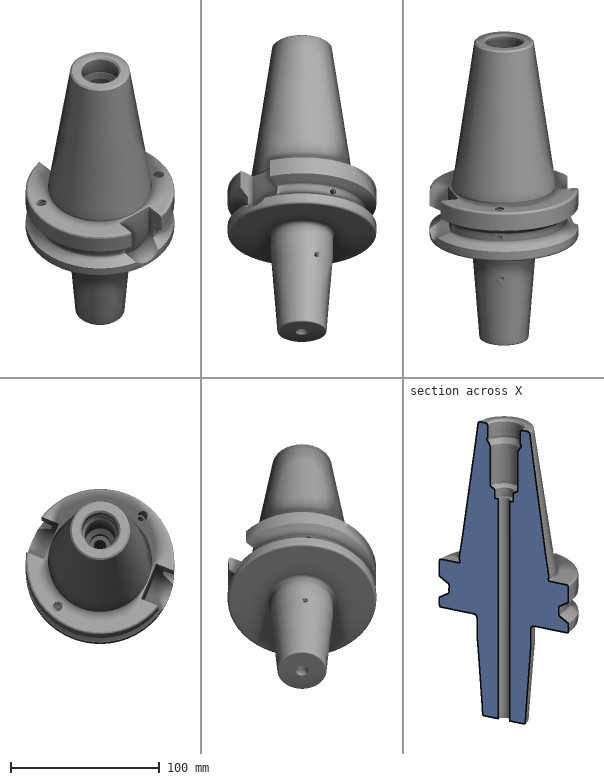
import cadquery as cq
import math

TOTAL_HEIGHT = 211.8

NOSE_RADIUS = 16.5
NECK_RADIUS = 21.0
NOSE_CONE_TOP = 57.5
NOSE_FILLET = 1.0
NECK_FILLET = 2.3

FLANGE_RADIUS = 50.0
FLANGE_BOTTOM = 72.0
FLANGE_TOP = 107.0
FLANGE_FILLET = 1.7
GROOVE_MOUTH_TOP = 94.3
GROOVE_MOUTH_WIDTH = 15.0
GROOVE_RADIUS = 42.5
GROOVE_FLANK_ANGLE = 30.0
GROOVE_FILLET = 1.0
GROOVE_MID = GROOVE_MOUTH_TOP - GROOVE_MOUTH_WIDTH / 2

TAPER_RADIUS = 35.0
TAPER_BOTTOM = 108.9
TAPER_RATIO = 7 / 24
TAPER_CHAMFER = 1.0
RELIEF_RADIUS = 34.3
RELIEF_FILLET = 0.6

SLOT_WIDTH = 26.3
SLOT_FLOOR = 35.4
SLOT_BOTTOM = 75.2

PILOT_RADIUS = 12.5
PILOT_CHAMFER = 1.3
PILOT_DEPTH = 11.0
UNDERCUT_RADIUS = 13.1
UNDERCUT_WIDTH = 1.7
THREAD_RADIUS = 10.4
THREAD_LEAD_ANGLE = 30.0
THREAD_DEPTH = 45.0
DRILL_RADIUS = 7.0
DRILL_TIP_ANGLE = 60.0
DRILL_DEPTH = 53.0
COOLANT_RADIUS = 4.2

HOLE_AZIMUTHS = (70.0, 250.0)
FACE_HOLE_OFFSET = 42.1
FACE_HOLE_TILT = 30.0
FACE_SEAT_RADIUS = 3.2
FACE_SEAT_DEPTH = 3.5
FACE_HOLE_RADIUS = 2.0
GROOVE_SEAT_RADIUS = 2.3
GROOVE_SEAT_DEPTH = 1.0
GROOVE_HOLE_RADIUS = 1.7
NOSE_SEAT_RADIUS = 2.0
NOSE_SEAT_DEPTH = 1.0
NOSE_HOLE_RADIUS = 1.3
NOSE_HOLE_DEPTH = 6.4
NOSE_HOLE_HEIGHT = 49.1

TOOL_LEAD = 4.2


def revolve_profile(profile):
    return profile.close().revolve(360, (0, 0, 0), (0, 1, 0))


def ring_edges(body, radius, height):
    """Circular edges of the body with the given radius and height."""
    tolerance = 0.002
    rings = [
        edge
        for edge in body.edges("%CIRCLE").vals()
        if abs(edge.radius() - radius) < tolerance and abs(edge.arcCenter().z - height) < tolerance
    ]
    return body.newObject(rings)


def make_body():
    flank_angle = math.radians(GROOVE_FLANK_ANGLE)
    flank_height = (FLANGE_RADIUS - GROOVE_RADIUS) * math.tan(flank_angle)
    mouth_bottom = GROOVE_MOUTH_TOP - GROOVE_MOUTH_WIDTH
    floor_top = GROOVE_MOUTH_TOP - flank_height
    floor_bottom = mouth_bottom + flank_height
    taper_end = TAPER_RADIUS - (TOTAL_HEIGHT - TAPER_BOTTOM) * TAPER_RATIO / 2
    body = revolve_profile(
        cq.Workplane("XZ")
        .moveTo(0, 0)
        .lineTo(NOSE_RADIUS, 0)
        .lineTo(NECK_RADIUS, NOSE_CONE_TOP)
        .lineTo(NECK_RADIUS, FLANGE_BOTTOM)
        .lineTo(FLANGE_RADIUS, FLANGE_BOTTOM)
        .lineTo(FLANGE_RADIUS, mouth_bottom)
        .lineTo(GROOVE_RADIUS, floor_bottom)
        .lineTo(GROOVE_RADIUS, floor_top)
        .lineTo(FLANGE_RADIUS, GROOVE_MOUTH_TOP)
        .lineTo(FLANGE_RADIUS, FLANGE_TOP)
        .lineTo(RELIEF_RADIUS, FLANGE_TOP)
        .lineTo(RELIEF_RADIUS, TAPER_BOTTOM)
        .lineTo(TAPER_RADIUS, TAPER_BOTTOM)
        .lineTo(taper_end, TOTAL_HEIGHT)
        .lineTo(0, TOTAL_HEIGHT)
    )
    fillets = (
        (NOSE_RADIUS, 0, NOSE_FILLET),
        (NECK_RADIUS, FLANGE_BOTTOM, NECK_FILLET),
        (FLANGE_RADIUS, FLANGE_BOTTOM, FLANGE_FILLET),
        (FLANGE_RADIUS, FLANGE_TOP, FLANGE_FILLET),
        (GROOVE_RADIUS, floor_bottom, GROOVE_FILLET),
        (GROOVE_RADIUS, floor_top, GROOVE_FILLET),
        (RELIEF_RADIUS, FLANGE_TOP, RELIEF_FILLET),
    )
    for radius, height, fillet in fillets:
        body = ring_edges(body, radius, height).fillet(fillet)
    return ring_edges(body, taper_end, TOTAL_HEIGHT).chamfer(TAPER_CHAMFER)


def make_drive_slots():
    end_radius = SLOT_WIDTH / 2
    end_centre = SLOT_BOTTOM + end_radius
    slot_top = TAPER_BOTTOM
    slot = (
        cq.Workplane("YZ", origin=(SLOT_FLOOR, 0, 0))
        .moveTo(-end_radius, slot_top)
        .lineTo(-end_radius, end_centre)
        .threePointArc((0, SLOT_BOTTOM), (end_radius, end_centre))
        .lineTo(end_radius, slot_top)
        .close()
        .extrude(FLANGE_RADIUS - SLOT_FLOOR + TOOL_LEAD)
    )
    return slot.union(slot.rotate((0, 0, 0), (0, 0, 1), 180))


def make_bore():
    pilot_bottom = TOTAL_HEIGHT - PILOT_DEPTH
    lead_top = pilot_bottom - UNDERCUT_WIDTH
    lead_height = (PILOT_RADIUS - THREAD_RADIUS) / math.tan(math.radians(THREAD_LEAD_ANGLE))
    thread_bottom = TOTAL_HEIGHT - THREAD_DEPTH
    tip_height = (THREAD_RADIUS - DRILL_RADIUS) / math.tan(math.radians(DRILL_TIP_ANGLE))
    drill_bottom = TOTAL_HEIGHT - DRILL_DEPTH
    return revolve_profile(
        cq.Workplane("XZ")
        .moveTo(0, TOTAL_HEIGHT)
        .lineTo(PILOT_RADIUS + PILOT_CHAMFER, TOTAL_HEIGHT)
        .lineTo(PILOT_RADIUS, TOTAL_HEIGHT - PILOT_CHAMFER)
        .lineTo(PILOT_RADIUS, pilot_bottom)
        .lineTo(UNDERCUT_RADIUS, pilot_bottom)
        .lineTo(UNDERCUT_RADIUS, lead_top)
        .lineTo(PILOT_RADIUS, lead_top)
        .lineTo(THREAD_RADIUS, lead_top - lead_height)
        .lineTo(THREAD_RADIUS, thread_bottom)
        .lineTo(DRILL_RADIUS, thread_bottom - tip_height)
        .lineTo(DRILL_RADIUS, drill_bottom)
        .lineTo(COOLANT_RADIUS, drill_bottom)
        .lineTo(COOLANT_RADIUS, 0)
        .lineTo(0, 0)
    )


def make_stepped_hole(mouth, direction, seat_radius, seat_depth, hole_radius, hole_depth):
    """Counterbored hole from the mouth point along a direction."""
    axis = cq.Vector(*direction)
    start = cq.Vector(*mouth) - axis * TOOL_LEAD
    seat = cq.Solid.makeCylinder(seat_radius, seat_depth + TOOL_LEAD, start, axis)
    hole = cq.Solid.makeCylinder(hole_radius, hole_depth + TOOL_LEAD, start, axis)
    return cq.Workplane(seat).union(cq.Workplane(hole))


def make_coolant_holes(azimuth):
    tilt = math.radians(FACE_HOLE_TILT)
    inward = (-1, 0, 0)
    slanted = (-math.sin(tilt), 0, -math.cos(tilt))
    face_hole_drop = FLANGE_TOP - GROOVE_MID
    meeting_radius = FACE_HOLE_OFFSET - face_hole_drop * math.tan(tilt)
    face_hole = make_stepped_hole(
        (FACE_HOLE_OFFSET, 0, FLANGE_TOP), slanted,
        FACE_SEAT_RADIUS, FACE_SEAT_DEPTH,
        FACE_HOLE_RADIUS, face_hole_drop / math.cos(tilt),
    )
    groove_hole = make_stepped_hole(
        (GROOVE_RADIUS, 0, GROOVE_MID), inward,
        GROOVE_SEAT_RADIUS, GROOVE_SEAT_DEPTH,
        GROOVE_HOLE_RADIUS, GROOVE_RADIUS - meeting_radius,
    )
    cone_growth = (NECK_RADIUS - NOSE_RADIUS) / NOSE_CONE_TOP
    nose_hole = make_stepped_hole(
        (NOSE_RADIUS + cone_growth * NOSE_HOLE_HEIGHT, 0, NOSE_HOLE_HEIGHT), inward,
        NOSE_SEAT_RADIUS, NOSE_SEAT_DEPTH,
        NOSE_HOLE_RADIUS, NOSE_HOLE_DEPTH,
    )
    holes = face_hole.union(groove_hole).union(nose_hole)
    return holes.rotate((0, 0, 0), (0, 0, 1), azimuth)


result = make_body().cut(make_drive_slots()).cut(make_bore())
for hole_azimuth in HOLE_AZIMUTHS:
    result = result.cut(make_coolant_holes(hole_azimuth))